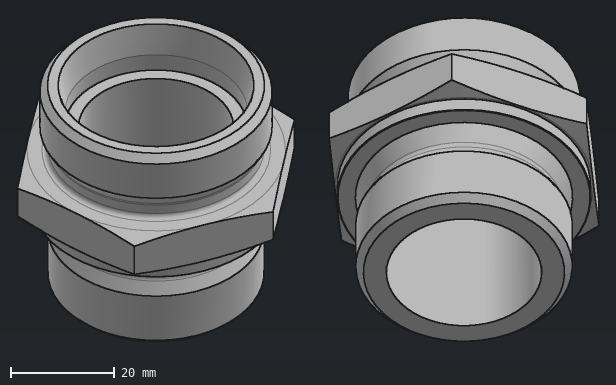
import cadquery as cq
import math

total_height = 48.0
lower_thread_top = 12.45
groove_arc_bottom = 15.05
groove_arc_top = 16.4
collar_bottom = 20.05
hex_bottom = 23.0
hex_top = 32.0
upper_thread_bottom = 38.0

lower_radius = 41.9 / 2
groove_bottom_radius = 19.45
groove_top_radius = 19.35
groove_mid_radius = 19.2
cone_top_radius = 21.0
collar_radius = 49.0 / 2
collar_chamfer = 0.1
hex_corner_diameter = 57.75
neck_radius = 42.0 / 2
neck_fillet = 1.1
upper_radius = 45.0 / 2
flank_angle = 30.0
end_chamfer = 1.5
hex_chamfer_angle = 15.0

bore_radius = 30.0 / 2
socket_radius = 35.3 / 2
socket_mouth_radius = 18.95
socket_depth = 10.4
socket_taper_depth = 6.5

hex_flat_radius = hex_corner_diameter / 2 * math.cos(math.radians(30))


def revolve_about_z(profile):
    """Turn a closed radius-height profile around the Z axis."""
    return profile.close().revolve(360, (0, 0, 0), (0, 1, 0))


def make_turned_body():
    """Both threaded ends, the grooves and the collar, as one solid of revolution."""
    fillet_mid = neck_fillet * (1 - math.sqrt(0.5))
    groove_mid_height = (groove_arc_bottom + groove_arc_top) / 2
    flank = math.radians(flank_angle)
    flank_arc_rise = neck_fillet * math.sin(flank)
    flank_arc_radius = neck_radius + neck_fillet * (1 - math.cos(flank))
    neck_arc_top = upper_thread_bottom - (upper_radius - flank_arc_radius) / math.tan(flank)
    profile = (
        cq.Workplane("XZ")
        .lineTo(lower_radius - end_chamfer, 0)
        .lineTo(lower_radius, end_chamfer)
        .lineTo(lower_radius, lower_thread_top)
        .lineTo(groove_bottom_radius, groove_arc_bottom)
        .threePointArc((groove_mid_radius, groove_mid_height), (groove_top_radius, groove_arc_top))
        .lineTo(cone_top_radius, collar_bottom)
        .lineTo(collar_radius - collar_chamfer, collar_bottom)
        .lineTo(collar_radius, collar_bottom + collar_chamfer)
        .lineTo(collar_radius, hex_top)
        .lineTo(neck_radius + neck_fillet, hex_top)
        .threePointArc(
            (neck_radius + fillet_mid, hex_top + fillet_mid),
            (neck_radius, hex_top + neck_fillet),
        )
        .lineTo(neck_radius, neck_arc_top - flank_arc_rise)
        .tangentArcPoint((flank_arc_radius, neck_arc_top), relative=False)
        .lineTo(upper_radius, upper_thread_bottom)
        .lineTo(upper_radius, total_height - end_chamfer)
        .lineTo(upper_radius - end_chamfer, total_height)
        .lineTo(0, total_height)
    )
    return revolve_about_z(profile)


def make_hex():
    """Hexagon with corners on the Y axis, chamfered above and below by a turned cone."""
    corner_radius = hex_corner_diameter / 2
    corners_on_y = (0, 0, 90)
    hex_sides = 6
    prism = (
        cq.Workplane("XY")
        .workplane(offset=hex_bottom)
        .transformed(rotate=corners_on_y)
        .polygon(hex_sides, hex_corner_diameter)
        .extrude(hex_top - hex_bottom)
    )
    overrun = 0.6
    outer_radius = corner_radius + overrun
    outer_drop = (outer_radius - hex_flat_radius) * math.tan(math.radians(hex_chamfer_angle))
    envelope = revolve_about_z(
        cq.Workplane("XZ")
        .moveTo(0, hex_bottom)
        .lineTo(hex_flat_radius, hex_bottom)
        .lineTo(outer_radius, hex_bottom + outer_drop)
        .lineTo(outer_radius, hex_top - outer_drop)
        .lineTo(hex_flat_radius, hex_top)
        .lineTo(0, hex_top)
    )
    return prism.intersect(envelope)


def make_bore():
    """Through bore with a stepped socket and a tapered mouth at the top."""
    shelf_height = total_height - socket_depth
    return revolve_about_z(
        cq.Workplane("XZ")
        .lineTo(bore_radius, 0)
        .lineTo(bore_radius, shelf_height)
        .lineTo(socket_radius, shelf_height)
        .lineTo(socket_radius, total_height - socket_taper_depth)
        .lineTo(socket_mouth_radius, total_height)
        .lineTo(0, total_height)
    )


result = make_turned_body().union(make_hex()).cut(make_bore())